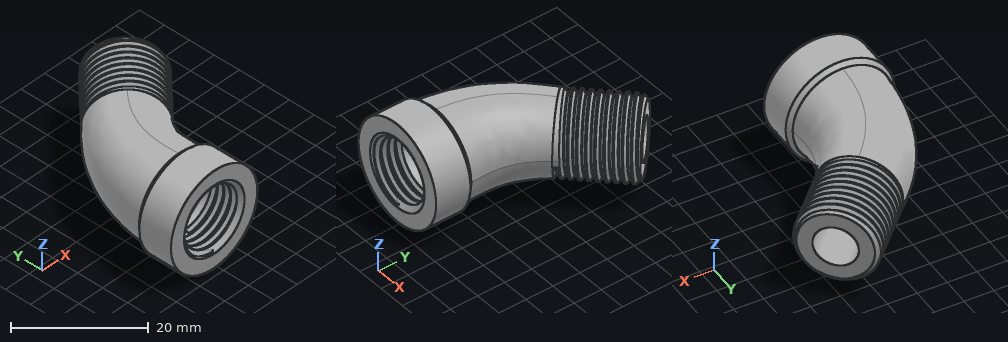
import cadquery as cq
import math

thread_pitch = 1.337
crest_flat = 0.25
root_flat = 0.15
thread_depth = 0.75
groove_overlap = 0.1

collar_radius = 18.3 / 2
collar_length = 7.1
collar_chamfer = 0.75
socket_radius = 5.36
mouth_radius = 6.4
countersink_depth = 0.75
socket_thread_start = 0.15
socket_start_angle = 90.0
socket_thread_turns = 4

bend_radius = 24.07
bend_angle = 45.0
bend_handle = 7.1
neck_start_radius = collar_radius - collar_chamfer

nipple_radius = 6.7
nipple_length = 12.82
nipple_chamfer = 0.77
outlet_bore_radius = 7.0 / 2
nipple_thread_start = 0.3
nipple_start_angle = 11.0

turn = math.radians(bend_angle)
flow_start = cq.Vector(0, 1, 0)
flow_end = cq.Vector(math.sin(turn), math.cos(turn), 0)
neck_start = cq.Vector(0, collar_length, 0)
neck_end = neck_start + cq.Vector(1 - math.cos(turn), math.sin(turn), 0) * bend_radius

inlet_plane = cq.Plane(origin=(0, 0, 0), xDir=(1, 0, 0), normal=flow_start)
outlet_plane = cq.Plane(origin=neck_end, xDir=(math.cos(turn), -math.sin(turn), 0), normal=flow_end)


def tapered_bend(start_radius, end_radius):
    """Solid round bend whose radius shrinks evenly along the centreline."""
    path = cq.Edge.makeBezier([
        neck_start,
        neck_start + flow_start * bend_handle,
        neck_end - flow_end * bend_handle,
        neck_end,
    ])
    start_circle = cq.Wire.makeCircle(start_radius, neck_start, flow_start)
    end_circle = cq.Wire.makeCircle(end_radius, neck_end, flow_end)
    return cq.Workplane(cq.Solid.sweep_multi([start_circle, end_circle], path))


def thread_groove(surface_radius, outward, start, turns):
    """Helical V-groove about local Z, starting on local X; outward is +1 in a bore and -1 on a shaft."""
    mouth_half = (thread_pitch - crest_flat) / 2
    root_half = root_flat / 2
    flare = (mouth_half - root_half) / thread_depth * groove_overlap
    clear_radius = surface_radius - outward * groove_overlap
    root_radius = surface_radius + outward * thread_depth
    helix_start = cq.Vector(0, 0, start)
    helix = cq.Wire.makeHelix(thread_pitch, turns * thread_pitch, surface_radius, helix_start)
    return (
        cq.Workplane("XZ")
        .moveTo(clear_radius, start - mouth_half - flare)
        .lineTo(root_radius, start - root_half)
        .lineTo(root_radius, start + root_half)
        .lineTo(clear_radius, start + mouth_half + flare)
        .close()
        .sweep(cq.Workplane(helix), isFrenet=True)
    )


def placed(shape, plane):
    """Move a shape from the global frame into a plane's frame."""
    return cq.Workplane(shape.val().moved(cq.Location(plane)))


def make_elbow():
    collar = (
        cq.Workplane(inlet_plane)
        .circle(collar_radius)
        .extrude(collar_length)
        .faces(">Y")
        .chamfer(collar_chamfer)
    )
    elbow = collar.union(tapered_bend(neck_start_radius, nipple_radius))
    socket = (
        cq.Workplane("XY")
        .lineTo(mouth_radius, 0)
        .lineTo(socket_radius, countersink_depth)
        .lineTo(socket_radius, collar_length)
        .lineTo(0, collar_length)
        .close()
        .revolve(360, (0, 0, 0), (0, 1, 0))
    )
    elbow = elbow.cut(socket).cut(tapered_bend(socket_radius, outlet_bore_radius))
    groove = thread_groove(socket_radius, 1, socket_thread_start, socket_thread_turns)
    groove = groove.rotate((0, 0, 0), (0, 0, 1), socket_start_angle)
    return elbow.cut(placed(groove, inlet_plane))


def make_nipple():
    shaft = cq.Workplane("XY").circle(nipple_radius).extrude(nipple_length)
    turns = nipple_length / thread_pitch + 1
    groove = thread_groove(nipple_radius, -1, nipple_thread_start, turns)
    shaft = shaft.cut(groove.rotate((0, 0, 0), (0, 0, 1), nipple_start_angle))
    envelope = (
        cq.Workplane("XZ")
        .moveTo(outlet_bore_radius, 0)
        .lineTo(nipple_radius + groove_overlap, 0)
        .lineTo(nipple_radius + groove_overlap, nipple_length - nipple_chamfer - groove_overlap)
        .lineTo(nipple_radius - nipple_chamfer, nipple_length)
        .lineTo(outlet_bore_radius, nipple_length)
        .close()
        .revolve(360, (0, 0, 0), (0, 1, 0))
    )
    return placed(shaft.intersect(envelope), outlet_plane)


elbow = make_elbow()
nipple = make_nipple()

result = cq.Compound.makeCompound([elbow.solids().val(), nipple.solids().val()])